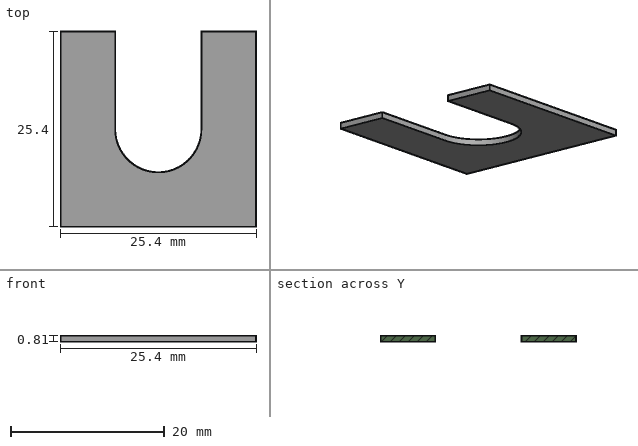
import cadquery as cq

side = 25.4
thickness = 0.81
slot_width = 11.18

slot_radius = slot_width / 2
half_side = side / 2

plate = cq.Workplane("XY").rect(side, side).extrude(thickness)

slot = (
    cq.Workplane("XY")
    .moveTo(-slot_radius, half_side)
    .lineTo(-slot_radius, 0)
    .threePointArc((0, -slot_radius), (slot_radius, 0))
    .lineTo(slot_radius, half_side)
    .close()
    .extrude(thickness)
)

result = plate.cut(slot)